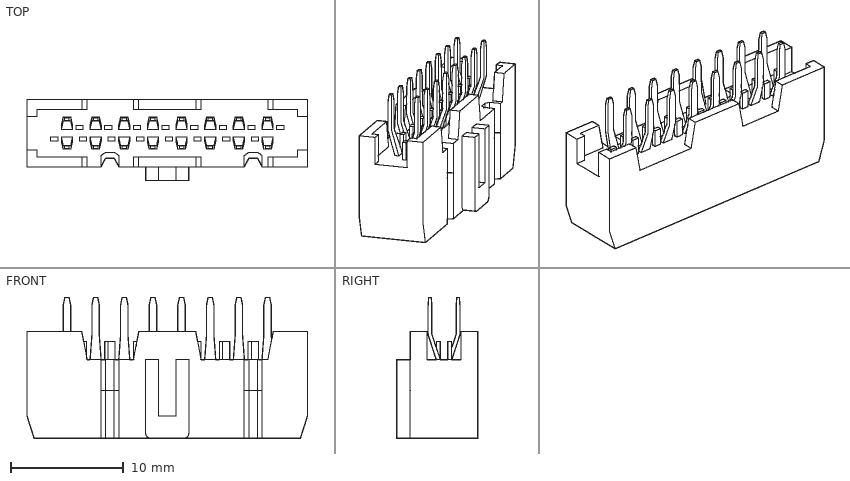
import cadquery as cq
import math


body_length = 24.89
body_width = 6.0
body_height = 9.5
floor_height = 7.0
end_chamfer_height = 2.0
end_chamfer_length = 0.64

wall = 0.9
end_gap_width = 3.0

windows = [(-7.1, -3.0), (3.0, 8.92)]
window_flare = 0.47

key_width = 3.84
key_depth = 1.2
key_slot_width = 1.57
key_slot_bottom = 2.0
key_corner_radius = 0.5

contacts_per_row = 8
pitch = 2.54
contact_thickness = 0.35
pin_base_width = 1.0
pin_width = 0.68
pin_tip_width = 0.4
pin_outer_y = 1.42
pin_bend_top_z = 9.27
pin_bend_inner_radius = 0.15
pin_bend_angle = math.radians(18.1)
pin_taper_z = 11.82
pin_tip_z = 12.5
pin_tip_thickness = 0.25
blade_width = 0.64
blade_inner_y = 0.33
blade_offset = 1.12
blade_top_z = 8.6

notch_centres = [-2 * pitch, 3 * pitch]
notch_width = 1.6
notch_flat_width = 0.76
notch_lower_depth = 0.78
notch_upper_depth = 1.3
notch_corner_depth = 0.28
notch_ledge_z = 4.27

half_length = body_length / 2
front_y = -body_width / 2
tray_depth = body_height - floor_height


def make_body():
    """Housing with sloped lower ends."""
    half_base = half_length - end_chamfer_length
    outline = [
        (-half_base, 0),
        (half_base, 0),
        (half_length, end_chamfer_height),
        (half_length, body_height),
        (-half_length, body_height),
        (-half_length, end_chamfer_height),
    ]
    return cq.Workplane("XZ").polyline(outline).close().extrude(body_width / 2, both=True)


def make_tray():
    """Space inside the upper walls, with a gap through each end wall."""
    top = cq.Workplane("XY").workplane(offset=floor_height)
    inside = top.rect(body_length - 2 * wall, body_width - 2 * wall).extrude(tray_depth)
    end_gaps = top.rect(body_length, end_gap_width).extrude(tray_depth)
    return inside.union(end_gaps)


def make_window(left, right):
    """Flared window through both long walls."""
    outline = [
        (left, floor_height),
        (right, floor_height),
        (right + window_flare, body_height),
        (left - window_flare, body_height),
    ]
    return cq.Workplane("XZ").polyline(outline).close().extrude(body_width / 2, both=True)


def make_notch(centre):
    """Vertical notch: a trapezoid below the ledge, a deeper chamfered slot above it."""
    half_mouth = notch_width / 2
    half_flat = notch_flat_width / 2
    lower_back = front_y + notch_lower_depth
    upper_back = front_y + notch_upper_depth
    corner_y = upper_back - notch_corner_depth
    lower_outline = [
        (centre - half_mouth, front_y),
        (centre + half_mouth, front_y),
        (centre + half_flat, lower_back),
        (centre - half_flat, lower_back),
    ]
    upper_outline = [
        (centre - half_mouth, front_y),
        (centre + half_mouth, front_y),
        (centre + half_mouth, corner_y),
        (centre + half_flat, upper_back),
        (centre - half_flat, upper_back),
        (centre - half_mouth, corner_y),
    ]
    lower = cq.Workplane("XY").polyline(lower_outline).close().extrude(floor_height)
    upper_plane = cq.Workplane("XY").workplane(offset=notch_ledge_z)
    upper = upper_plane.polyline(upper_outline).close().extrude(floor_height - notch_ledge_z)
    return lower.union(upper)


def make_key():
    """U-shaped key with rounded lower corners."""
    face = cq.Workplane("XZ", origin=(0, front_y, 0))
    block = face.center(0, floor_height / 2).rect(key_width, floor_height).extrude(key_depth)
    block = block.edges("|Y and <Z").fillet(key_corner_radius)
    slot_height = floor_height - key_slot_bottom
    slot = face.center(0, key_slot_bottom + slot_height / 2).rect(key_slot_width, slot_height)
    return block.cut(slot.extrude(key_depth))


def bend_point(radius, angle):
    """Y and Z on the bend arc of the given radius, at an angle below the top of the bend."""
    centre_y = pin_outer_y - contact_thickness - pin_bend_inner_radius
    return (centre_y + radius * math.cos(angle), pin_bend_top_z - radius * math.sin(angle))


def sloped_base(bend_end):
    """Y and Z where the sloped leg leaving the bend at bend_end meets the housing floor."""
    end_y, end_z = bend_end
    return (end_y - (end_z - floor_height) * math.tan(pin_bend_angle), floor_height)


def make_pin():
    """Bent pin of the +Y row at X = 0: its side profile crossed with its face profile."""
    inner_radius = pin_bend_inner_radius
    outer_radius = inner_radius + contact_thickness
    inner_y = pin_outer_y - contact_thickness
    tip_inset = (contact_thickness - pin_tip_thickness) / 2
    outer_bend_end = bend_point(outer_radius, pin_bend_angle)
    inner_bend_end = bend_point(inner_radius, pin_bend_angle)
    side = (
        cq.Workplane("YZ")
        .moveTo(*sloped_base(inner_bend_end))
        .lineTo(*sloped_base(outer_bend_end))
        .lineTo(*outer_bend_end)
        .threePointArc(bend_point(outer_radius, pin_bend_angle / 2), bend_point(outer_radius, 0))
        .lineTo(pin_outer_y, pin_taper_z)
        .lineTo(pin_outer_y - tip_inset, pin_tip_z)
        .lineTo(inner_y + tip_inset, pin_tip_z)
        .lineTo(inner_y, pin_taper_z)
        .lineTo(*bend_point(inner_radius, 0))
        .threePointArc(bend_point(inner_radius, pin_bend_angle / 2), inner_bend_end)
        .close()
        .extrude(pin_base_width, both=True)
    )
    leg_top_z = outer_bend_end[1]
    face_profile = [
        (-pin_base_width / 2, floor_height),
        (pin_base_width / 2, floor_height),
        (pin_width / 2, leg_top_z),
        (pin_width / 2, pin_taper_z),
        (pin_tip_width / 2, pin_tip_z),
        (-pin_tip_width / 2, pin_tip_z),
        (-pin_width / 2, pin_taper_z),
        (-pin_width / 2, leg_top_z),
    ]
    face = cq.Workplane("XZ").polyline(face_profile).close().extrude(body_width / 2, both=True)
    return side.intersect(face)


def make_contact():
    """Pin of the +Y row with the straight blade beside it."""
    blade_y = blade_inner_y + contact_thickness / 2
    blade_plane = cq.Workplane("XY", origin=(blade_offset, blade_y, floor_height))
    blade = blade_plane.rect(blade_width, contact_thickness).extrude(blade_top_z - floor_height)
    return make_pin().add(blade).combine()


result = make_body().cut(make_tray())
for window_left, window_right in windows:
    result = result.cut(make_window(window_left, window_right))
for notch_centre in notch_centres:
    result = result.cut(make_notch(notch_centre))
result = result.union(make_key())

back_contact = make_contact()
front_contact = back_contact.rotate((0, 0, 0), (0, 0, 1), 180)
for index in range(contacts_per_row):
    contact_x = (index - (contacts_per_row - 1) / 2) * pitch
    result = result.union(back_contact.translate((contact_x, 0, 0)))
    result = result.union(front_contact.translate((contact_x, 0, 0)))